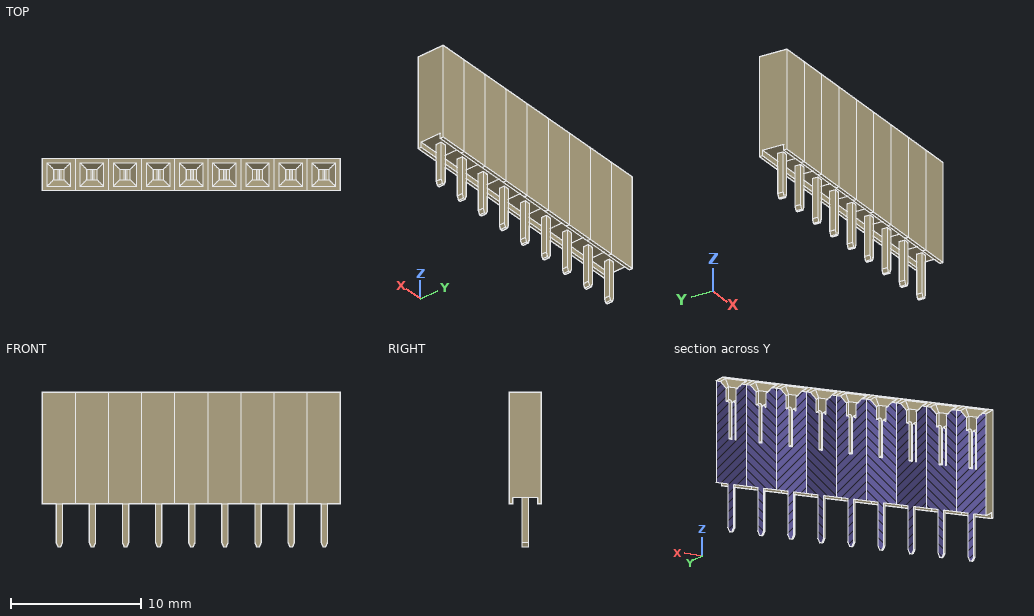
import cadquery as cq

module_count = 9
pitch = 2.54
module_depth = 2.48
total_height = 11.88

pin_length = 3.3
pin_size = 0.5
tip_width = 0.21
tip_height = 0.34

housing_height = total_height - pin_length
rail_width = 0.3
channel_height = 0.48
channel_width = module_depth - 2 * rail_width

funnel_mouth = 1.8
socket_size = 0.8
funnel_depth = (funnel_mouth - socket_size) / 2
funnel_throat = housing_height - funnel_depth

contact_offset = 0.045

leaf_top_depth = 1.5
leaf_top = housing_height - leaf_top_depth
slit_width = 0.23
slit_depth = 3.0
slit_floor = leaf_top - slit_depth
ridge_height = 0.02
leaf_thickness = 0.3
leaf_radius = leaf_thickness / 2


def make_housing():
    """Plain block with its underside channel running along X."""
    housing = cq.Workplane("XY").box(
        pitch, module_depth, housing_height, centered=(True, True, False)
    )
    channel = cq.Workplane("XY").box(
        pitch, channel_width, channel_height, centered=(True, True, False)
    )
    return housing.cut(channel)


def make_socket():
    """Void of the funnel and the square socket, down to the foot of the slit."""
    funnel = (
        cq.Workplane("XY", origin=(0, 0, funnel_throat))
        .rect(socket_size, socket_size)
        .workplane(offset=funnel_depth)
        .rect(funnel_mouth, funnel_mouth)
        .loft(ruled=True)
    )
    shaft = (
        cq.Workplane("XY", origin=(0, 0, slit_floor))
        .rect(socket_size, socket_size)
        .extrude(funnel_throat - slit_floor)
    )
    return funnel.union(shaft)


def make_leaf(side):
    """Contact leaf on the left (side = -1) or right (side = 1) of the slit."""
    center = contact_offset + side * (slit_width / 2 + leaf_radius)
    shoulder = leaf_top - leaf_radius
    return (
        cq.Workplane("XZ")
        .moveTo(center - leaf_radius, slit_floor)
        .lineTo(center - leaf_radius, shoulder)
        .threePointArc((center, leaf_top), (center + leaf_radius, shoulder))
        .lineTo(center + leaf_radius, slit_floor)
        .close()
        .extrude(socket_size / 2, both=True)
    )


def make_slit_ridge():
    """Low triangular ridge across the slit floor, running along Y."""
    return (
        cq.Workplane("XZ")
        .moveTo(contact_offset - slit_width / 2, slit_floor)
        .lineTo(contact_offset, slit_floor + ridge_height)
        .lineTo(contact_offset + slit_width / 2, slit_floor)
        .close()
        .extrude(socket_size / 2, both=True)
    )


def make_pin():
    """Square pin from the channel roof down to a tip narrowed along X."""
    tip_end = -pin_length
    shank_end = tip_end + tip_height
    return (
        cq.Workplane("XZ", origin=(contact_offset, 0, 0))
        .moveTo(-pin_size / 2, channel_height)
        .lineTo(-pin_size / 2, shank_end)
        .lineTo(-tip_width / 2, tip_end)
        .lineTo(tip_width / 2, tip_end)
        .lineTo(pin_size / 2, shank_end)
        .lineTo(pin_size / 2, channel_height)
        .close()
        .extrude(pin_size / 2, both=True)
    )


def make_module():
    """One solid: housing, contact leaves and pin, centered on X = 0."""
    module = make_housing().cut(make_socket())
    for side in (-1, 1):
        module = module.union(make_leaf(side))
    return module.union(make_slit_ridge()).union(make_pin())


module = make_module()
first_x = -pitch * (module_count - 1) / 2
modules = [
    module.translate((first_x + index * pitch, 0, 0)).val()
    for index in range(module_count)
]

result = cq.Compound.makeCompound(modules)